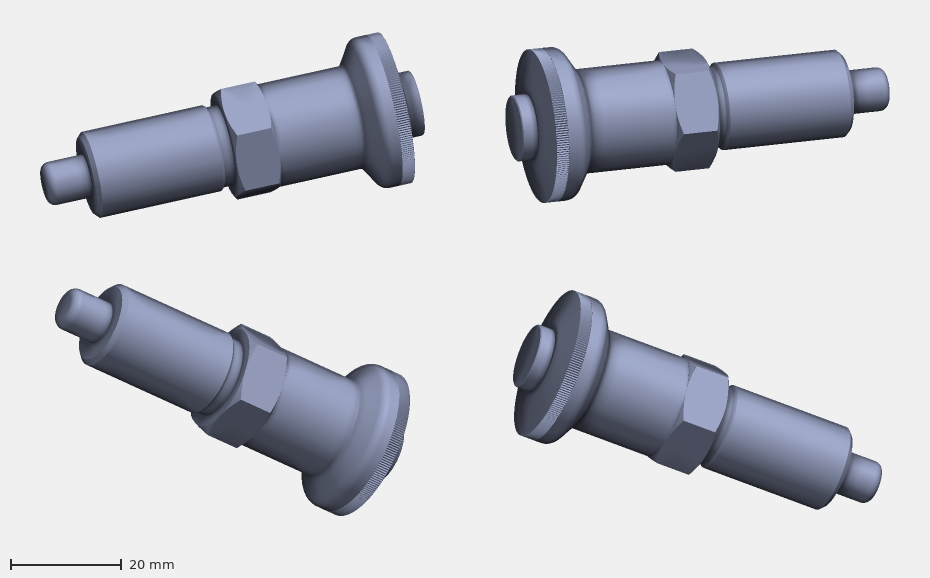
import cadquery as cq
import math


shank_radius = 8.0
shank_chamfer = 0.85
neck_radius = 7.4
neck_length = 1.9
hex_across_flats = 19.1
hex_length = 8.05
hex_start = 25.95
hex_end = hex_start + hex_length
hex_chamfer_angle = 30
hex_sides = 6

pin_radius = 4.0
pin_protrusion = 8.0
pin_tip_fillet = 1.55
overall_length = 69.9
plunger_end = overall_length - pin_protrusion
sleeve_radius = 9.5
knob_radius = 14
button_radius = 6.0
button_height = 2.8
button_edge_chamfer = 0.2
crown_height = 1.3
crown_top_radius = 7.1
rim_length = 4.05
flare_angle = 57
flare_rim_fillet = 1.95
flare_sleeve_fillet = 0.8

knurl_count = 200
knurl_length = 2.3
knurl_depth = 0.2
knurl_cutter_wall = 0.7

knob_face = plunger_end - button_height
rim_end = knob_face - crown_height
rim_start = rim_end - rim_length


def revolve_profile(profile):
    """Turn a closed radius / Y outline a full revolution about the Y axis."""
    return profile.close().revolve(360, (0, 0, 0), (0, 1, 0))


def make_shank():
    """Chamfered shank with its relief neck below the hexagon."""
    shank_end = hex_start - neck_length
    return revolve_profile(
        cq.Workplane("XY")
        .moveTo(0, 0)
        .lineTo(shank_radius - shank_chamfer, 0)
        .lineTo(shank_radius, shank_chamfer)
        .lineTo(shank_radius, shank_end - (shank_radius - neck_radius))
        .lineTo(neck_radius, shank_end)
        .lineTo(neck_radius, hex_start)
        .lineTo(0, hex_start)
    )


def make_hexagon():
    """Hexagon with flats facing +Z and -Z and both ends chamfered."""
    corner_radius = hex_across_flats / 2 / math.cos(math.pi / hex_sides)
    flat_radius = hex_across_flats / 2
    chamfer_length = (corner_radius - flat_radius) * math.tan(math.radians(hex_chamfer_angle))
    prism = (
        cq.Workplane("XZ", origin=(0, hex_end, 0))
        .polygon(hex_sides, 2 * corner_radius)
        .extrude(hex_length)
    )
    chamfer_envelope = revolve_profile(
        cq.Workplane("XY")
        .moveTo(0, hex_start)
        .lineTo(flat_radius, hex_start)
        .lineTo(corner_radius, hex_start + chamfer_length)
        .lineTo(corner_radius, hex_end - chamfer_length)
        .lineTo(flat_radius, hex_end)
        .lineTo(0, hex_end)
    )
    return prism.intersect(chamfer_envelope)


def make_housing():
    """Shank and hexagon with a through bore that guides the pin."""
    bore = cq.Workplane("XZ", origin=(0, hex_end, 0)).circle(pin_radius).extrude(hex_end)
    return make_shank().union(make_hexagon()).cut(bore)


def make_pin():
    """Locking pin with a rounded tip, running through the housing."""
    pin_length = hex_end + pin_protrusion
    pin = cq.Workplane("XZ", origin=(0, hex_end, 0)).circle(pin_radius).extrude(pin_length)
    return pin.faces("<Y").edges().fillet(pin_tip_fillet)


def make_knob():
    """Sleeve that flares into the knob rim, with a conical crown and a push button."""
    flare = math.radians(flare_angle)
    half_turn = flare / 2

    rim_tangent = flare_rim_fillet * math.tan(half_turn)
    sleeve_tangent = flare_sleeve_fillet * math.tan(half_turn)
    rim_corner = rim_start - rim_tangent
    sleeve_corner = rim_corner - (knob_radius - sleeve_radius) / math.tan(flare)

    rim_center = (knob_radius - flare_rim_fillet, rim_start)
    sleeve_center = (sleeve_radius + flare_sleeve_fillet, sleeve_corner - sleeve_tangent)

    def rim_fillet_point(angle):
        return (
            rim_center[0] + flare_rim_fillet * math.cos(angle),
            rim_center[1] - flare_rim_fillet * math.sin(angle),
        )

    def sleeve_fillet_point(angle):
        return (
            sleeve_center[0] - flare_sleeve_fillet * math.cos(angle),
            sleeve_center[1] + flare_sleeve_fillet * math.sin(angle),
        )

    return revolve_profile(
        cq.Workplane("XY")
        .moveTo(0, hex_end)
        .lineTo(sleeve_radius, hex_end)
        .lineTo(*sleeve_fillet_point(0))
        .threePointArc(sleeve_fillet_point(half_turn), sleeve_fillet_point(flare))
        .lineTo(*rim_fillet_point(flare))
        .threePointArc(rim_fillet_point(half_turn), rim_fillet_point(0))
        .lineTo(knob_radius, rim_end)
        .lineTo(crown_top_radius, knob_face)
        .lineTo(button_radius, knob_face)
        .lineTo(button_radius, plunger_end - button_edge_chamfer)
        .lineTo(button_radius - button_edge_chamfer, plunger_end)
        .lineTo(0, plunger_end)
    )


def make_knurl_cutter():
    """Ring whose toothed inside leaves V-shaped knurl teeth on the rim."""
    tooth_outline = []
    for index in range(2 * knurl_count):
        radius = knob_radius if index % 2 == 0 else knob_radius - knurl_depth
        angle = math.pi * index / knurl_count
        tooth_outline.append((radius * math.cos(angle), radius * math.sin(angle)))
    return (
        cq.Workplane("XZ", origin=(0, rim_end, 0))
        .circle(knob_radius + knurl_cutter_wall)
        .polyline(tooth_outline)
        .close()
        .extrude(knurl_length)
    )


def make_plunger():
    """Pin and knurled knob, which move as one."""
    return make_knob().cut(make_knurl_cutter()).union(make_pin())


housing = make_housing()
plunger = make_plunger()
result = cq.Compound.makeCompound([housing.val(), plunger.val()])